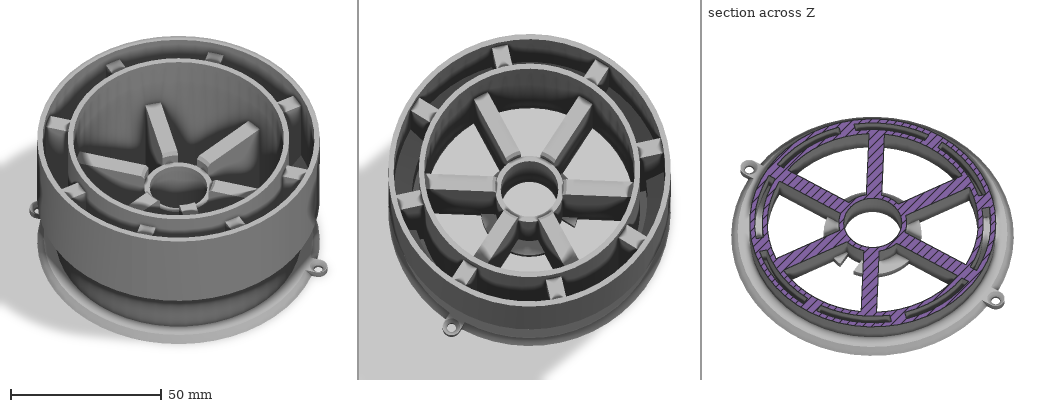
import cadquery as cq
import math

height = 49.8
flat_span = 94.07
web_width = 5.3
outer_diameter = math.hypot(flat_span, web_width)
wall = 1.8

tube_bore = 70.2
tube_diameter = tube_bore + 2 * wall
hub_bore = 19.2
hub_diameter = hub_bore + 2 * wall
hub_height = 26.2

neck_diameter = 82.2
drum_bottom = 21.0
cone_height = (outer_diameter - neck_diameter) / 2
cone_bottom = drum_bottom - cone_height

base_thickness = 2.15
disk_diameter = 32.6

rib_count = 8
rib_top = 45.0
spoke_count = 6
spoke_top = 30.7
spoke_bevel = 1.0

ear_span = 103.02
ear_diameter = 6.0
ear_hole_diameter = 3.05
countersink_diameter = 5.6
countersink_angle = 90
ear_center = (ear_span - ear_diameter) / 2


def ring(outer, inner, ring_height):
    """Plain tube standing on the base plane, sized by its two diameters."""
    return cq.Workplane("XY").circle(outer / 2).circle(inner / 2).extrude(ring_height)


def revolved(profile):
    """Solid of revolution about Z from (radius, z) corner points."""
    return cq.Workplane("XZ").polyline(profile).close().revolve(360, (0, 0), (0, 1))


def shell_and_flange():
    """Revolve the outer shell together with the flange that closes the annular gap."""
    drum_radius = outer_diameter / 2
    neck_radius = neck_diameter / 2
    profile = [
        (tube_bore / 2, 0),
        (drum_radius, 0),
        (drum_radius - base_thickness, base_thickness),
        (neck_radius, base_thickness),
        (neck_radius, cone_bottom),
        (drum_radius, drum_bottom),
        (drum_radius, height),
        (drum_radius - wall, height),
        (drum_radius - wall, drum_bottom),
        (neck_radius - wall, cone_bottom),
        (neck_radius - wall, base_thickness),
        (tube_bore / 2, base_thickness),
    ]
    between_flats = cq.Workplane("XY").box(outer_diameter, flat_span, height, centered=(True, True, False))
    return revolved(profile).intersect(between_flats)


def radial_web(start_radius, end_radius, top, angle):
    """Upright plate standing on the base plane and pointing outward at the given angle."""
    length = end_radius - start_radius
    plate = cq.Workplane("XY").box(length, web_width, top, centered=(False, True, False))
    return plate.translate((start_radius, 0, 0)).rotate((0, 0, 0), (0, 0, 1), angle)


def web_set(count, start_radius, end_radius, top):
    """Equally spaced radial webs, the first one along +X."""
    webs = cq.Workplane("XY")
    for i in range(count):
        webs = webs.add(radial_web(start_radius, end_radius, top, i * 360 / count))
    return webs.combine()


def ribs():
    """Ribs across the annular gap, ending inside the thickness of the outer shell."""
    neck_middle = (neck_diameter - wall) / 2
    drum_middle = (outer_diameter - wall) / 2
    envelope = revolved([
        (0, 0),
        (neck_middle, 0),
        (neck_middle, cone_bottom),
        (drum_middle, drum_bottom),
        (drum_middle, height),
        (0, height),
    ])
    return web_set(rib_count, (tube_bore + wall) / 2, outer_diameter / 2, rib_top).intersect(envelope)


def spokes():
    """Spokes from hub to tube, with the upper inner edges bevelled by a common cone."""
    hub_radius = hub_diameter / 2
    clearance = revolved([
        (0, hub_height),
        (hub_radius, hub_height),
        (hub_radius, spoke_top - spoke_bevel),
        (hub_radius + spoke_bevel, spoke_top),
        (0, spoke_top),
    ])
    return web_set(spoke_count, (hub_bore + wall) / 2, (tube_bore + wall) / 2, spoke_top).cut(clearance)


def hub():
    """Hub tube on a disk that is slotted toward +Y."""
    slot_length = disk_diameter / 2
    slot = cq.Workplane("XY").box(web_width, slot_length, base_thickness, centered=(True, False, False))
    disk = ring(disk_diameter, hub_bore, base_thickness).cut(slot)
    return disk.union(ring(hub_diameter, hub_bore, hub_height))


def ear(side):
    """Rounded lug reaching from the neck past the flange rim; side is +1 or -1 along X."""
    root = neck_diameter / 2
    arm = cq.Workplane("XY").box(ear_center - root, ear_diameter, base_thickness, centered=(True, True, False))
    arm = arm.translate((side * (ear_center + root) / 2, 0, 0))
    tip = cq.Workplane("XY").center(side * ear_center, 0).circle(ear_diameter / 2).extrude(base_thickness)
    return arm.union(tip)


def drill_ear(body, side):
    """Countersunk screw hole through the ear on the given side."""
    ear_top = cq.Workplane("XY", origin=(side * ear_center, 0, base_thickness))
    on_ear = body.copyWorkplane(ear_top)
    return on_ear.cskHole(ear_hole_diameter, countersink_diameter, countersink_angle, depth=base_thickness)


result = (
    shell_and_flange()
    .union(ring(tube_diameter, tube_bore, height))
    .union(ribs())
    .union(hub())
    .union(spokes())
)
for side in (-1, 1):
    result = drill_ear(result.union(ear(side)), side)